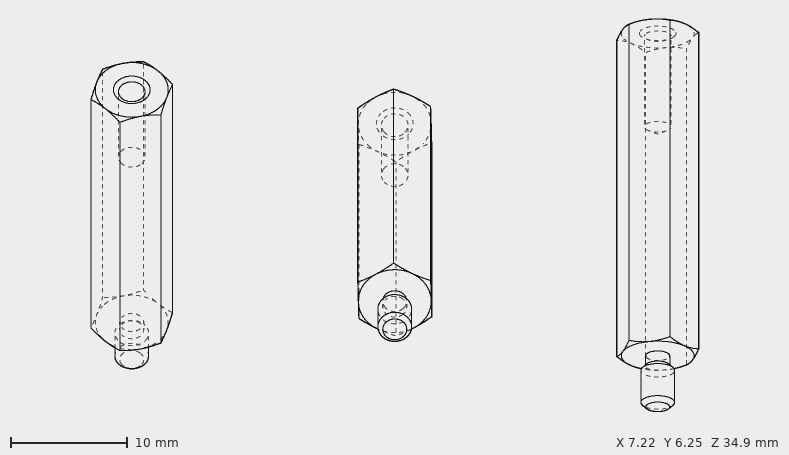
import cadquery as cq
import math

total_length = 34.92
stud_length = 4.8
body_length = total_length - stud_length
across_flats = 6.25
across_corners = across_flats / math.cos(math.pi / 6)

corner_trim_angle = 30.0
trim_radius = across_flats / 2

stud_diameter = 2.9
stud_tip_chamfer = 0.42
neck_diameter = 2.05
neck_length = 0.95
neck_cone_length = 0.42

hole_diameter = 2.27
hole_mouth_diameter = 3.15
countersink_angle = 120.0
hole_depth = 8.73
drill_point_angle = 118.0


def revolve_profile(points):
    """Revolve (radius, height) points about the Z axis."""
    return cq.Workplane("XZ").polyline(points).close().revolve(360, (0, 0), (0, 1))


def hex_body():
    """Hexagonal bar with corners on the X axis and both ends trimmed by cones."""
    bar = cq.Workplane("XY").polygon(6, across_corners).extrude(body_length)
    corner_radius = across_corners / 2
    trim_height = (corner_radius - trim_radius) * math.tan(math.radians(corner_trim_angle))
    envelope = revolve_profile([
        (0, 0),
        (trim_radius, 0),
        (corner_radius, trim_height),
        (corner_radius, body_length - trim_height),
        (trim_radius, body_length),
        (0, body_length),
    ])
    return bar.intersect(envelope)


def stud():
    """Stud below the body, with a narrow neck and a chamfered tip."""
    stud_radius = stud_diameter / 2
    neck_radius = neck_diameter / 2
    return revolve_profile([
        (0, 0),
        (neck_radius, 0),
        (neck_radius, -neck_length),
        (stud_radius, -neck_length - neck_cone_length),
        (stud_radius, -stud_length + stud_tip_chamfer),
        (stud_radius - stud_tip_chamfer, -stud_length),
        (0, -stud_length),
    ])


def tapped_hole():
    """Blind hole with a countersunk mouth and a drill point."""
    hole_radius = hole_diameter / 2
    mouth_radius = hole_mouth_diameter / 2
    countersink_depth = (mouth_radius - hole_radius) / math.tan(math.radians(countersink_angle / 2))
    floor_height = body_length - hole_depth
    point_depth = hole_radius / math.tan(math.radians(drill_point_angle / 2))
    return revolve_profile([
        (0, body_length),
        (mouth_radius, body_length),
        (hole_radius, body_length - countersink_depth),
        (hole_radius, floor_height),
        (0, floor_height - point_depth),
    ])


result = hex_body().union(stud()).cut(tapped_hole())